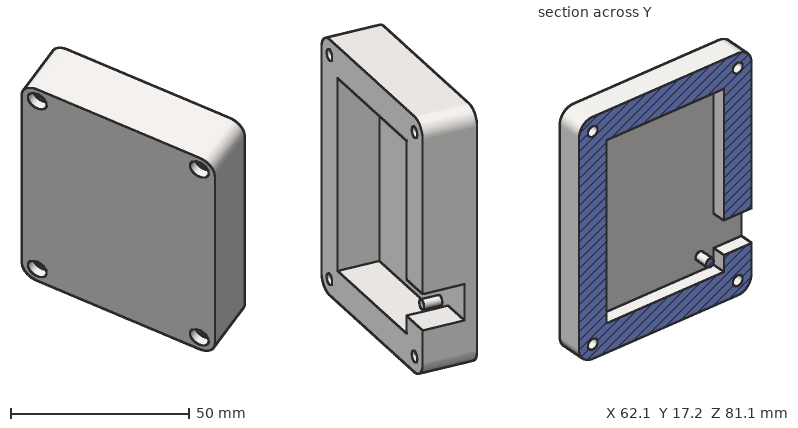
import cadquery as cq

width = 62.1
depth = 17.2
height = 81.1
corner_radius = 5.0

wall = 10.0
floor_thickness = 4.05

screw_diameter = 3.4
head_diameter = 6.0
head_depth = 3.1

notch_bottom = 15.63
notch_height = 11.5

pin_diameter = 3.0
pin_length = 5.75
pin_wall_gap = 5.0
pin_inset = wall + pin_wall_gap


def box_from_corner(x, y, z, size_x, size_y, size_z):
    """Box with its lowest-coordinate corner at (x, y, z)."""
    return cq.Workplane("XY").box(size_x, size_y, size_z, centered=False).translate((x, y, z))


def cylinder_along_y(x, y, z, diameter, length):
    """Cylinder starting at (x, y, z) and running toward +Y."""
    start = cq.Vector(x, y, z)
    toward_back = cq.Vector(0, 1, 0)
    return cq.Workplane(obj=cq.Solid.makeCylinder(diameter / 2, length, start, toward_back))


def make_frame():
    """Rounded block hollowed from the back."""
    block = box_from_corner(0, 0, 0, width, depth, height).edges("|Y").fillet(corner_radius)
    cavity = box_from_corner(
        wall,
        floor_thickness,
        wall,
        width - 2 * wall,
        depth - floor_thickness,
        height - 2 * wall,
    )
    return block.cut(cavity)


def cut_screw_holes(body):
    """Counterbored through hole in each corner, screw heads sunk into the front."""
    for x in (corner_radius, width - corner_radius):
        for z in (corner_radius, height - corner_radius):
            body = body.cut(cylinder_along_y(x, 0, z, screw_diameter, depth))
            body = body.cut(cylinder_along_y(x, 0, z, head_diameter, head_depth))
    return body


def cut_cable_notch(body):
    """Rectangular notch from the -X side into the cavity, flush with its floor."""
    notch = box_from_corner(
        0, floor_thickness, notch_bottom, wall, depth - floor_thickness, notch_height
    )
    return body.cut(notch)


def add_pin(body):
    """Round pin rising from the cavity floor."""
    pin = cylinder_along_y(pin_inset, 0, pin_inset, pin_diameter, floor_thickness + pin_length)
    return body.union(pin)


frame = make_frame()
drilled = cut_screw_holes(frame)
notched = cut_cable_notch(drilled)
result = add_pin(notched)